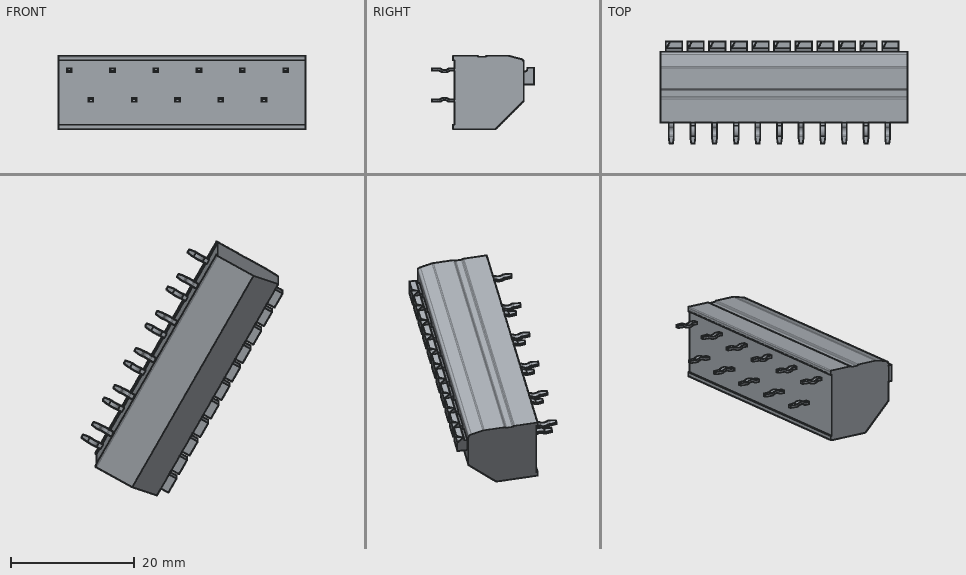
import cadquery as cq
import math

LENGTH = 40.0
DEPTH = 11.5
HEIGHT = 11.9
BOTTOM_BEVEL = 4.6
TOP_SLOPE_RUN = 2.5
TOP_SLOPE_DROP = 0.65
BACK_EDGE_RADIUS = 0.6
SLOPE_EDGE_RADIUS = 0.9
RIM_HEIGHT = 0.75
RIM_DEPTH = 0.25
RIM_EDGE_RADIUS = 0.15

GROOVE_FRONT = 3.9
GROOVE_BACK = 5.55
GROOVE_DEPTH = 0.15
GROOVE_RAMP = 0.35

POLE_COUNT = 11
POLE_SPAN = 35.0
POLE_PITCH = POLE_SPAN / (POLE_COUNT - 1)
FIRST_PIN_X = 1.75
OVERLAP = 0.4

LEVER_OFFSET = 0.45
LEVER_WIDTH = 2.7
LEVER_REACH = 1.65
LEVER_BOTTOM = 7.25
LEVER_TOP = 10.0
LEVER_LEDGE = 9.4
LEVER_HEAD_DEPTH = 1.1
HEAD_RADIUS = 0.2
LEDGE_RADIUS = 0.3

NOTCH_SIZE = 0.85
NOTCH_TOP_LENGTH = 0.25
NOTCH_BOTTOM_LENGTH = 1.3

PIN_REACH = 3.4
PIN_WIDTH = 0.85
PIN_THICKNESS = 0.4
PIN_TIP_WIDTH = 0.55
PIN_TAPER = 0.9
PIN_UPPER_Z = 9.7
PIN_LOWER_Z = 4.65
KINK_CENTRE = 1.35
KINK_HALF_LENGTH = 0.85
KINK_ANGLE = math.radians(37)


def round_long_edge(body, y, z, radius):
    """Fillet the edge along X that passes through (y, z)."""
    edge = cq.selectors.NearestToPointSelector((LENGTH / 2, y, z))
    return body.edges("|X").edges(edge).fillet(radius)


def make_housing():
    wall_y = RIM_DEPTH
    groove_floor = HEIGHT - GROOVE_DEPTH
    mid_ramp = HEIGHT - GROOVE_DEPTH / 2
    profile = (
        cq.Workplane("YZ")
        .moveTo(0, 0)
        .lineTo(DEPTH - BOTTOM_BEVEL, 0)
        .lineTo(DEPTH, BOTTOM_BEVEL)
        .lineTo(DEPTH, HEIGHT - TOP_SLOPE_DROP)
        .lineTo(DEPTH - TOP_SLOPE_RUN, HEIGHT)
        .lineTo(GROOVE_BACK, HEIGHT)
        .tangentArcPoint((GROOVE_BACK - GROOVE_RAMP / 2, mid_ramp), relative=False)
        .tangentArcPoint((GROOVE_BACK - GROOVE_RAMP, groove_floor), relative=False)
        .lineTo(GROOVE_FRONT + GROOVE_RAMP, groove_floor)
        .tangentArcPoint((GROOVE_FRONT + GROOVE_RAMP / 2, mid_ramp), relative=False)
        .tangentArcPoint((GROOVE_FRONT, HEIGHT), relative=False)
        .lineTo(0, HEIGHT)
        .lineTo(0, HEIGHT - RIM_HEIGHT)
        .lineTo(wall_y, HEIGHT - RIM_HEIGHT)
        .lineTo(wall_y, RIM_HEIGHT)
        .lineTo(0, RIM_HEIGHT)
        .close()
    )
    housing = profile.extrude(LENGTH)

    housing = round_long_edge(housing, DEPTH, HEIGHT - TOP_SLOPE_DROP, BACK_EDGE_RADIUS)
    housing = round_long_edge(housing, DEPTH - TOP_SLOPE_RUN, HEIGHT, SLOPE_EDGE_RADIUS)
    housing = round_long_edge(housing, 0, HEIGHT, RIM_EDGE_RADIUS)
    return round_long_edge(housing, 0, 0, RIM_EDGE_RADIUS)


def make_lever():
    """Lever with its -X side at X = 0."""
    back = DEPTH + LEVER_REACH
    root = DEPTH - OVERLAP
    step = back - LEVER_HEAD_DEPTH
    lever = (
        cq.Workplane("YZ")
        .moveTo(root, LEVER_BOTTOM)
        .lineTo(back, LEVER_BOTTOM)
        .lineTo(back, LEVER_TOP)
        .lineTo(step + HEAD_RADIUS, LEVER_TOP)
        .tangentArcPoint((step, LEVER_TOP - HEAD_RADIUS), relative=False)
        .lineTo(step, LEVER_LEDGE + LEDGE_RADIUS)
        .tangentArcPoint((step - LEDGE_RADIUS, LEVER_LEDGE), relative=False)
        .lineTo(root, LEVER_LEDGE)
        .close()
        .extrude(LEVER_WIDTH)
    )

    slope_length = NOTCH_SIZE * math.sqrt(2)
    bevel = cq.Plane(origin=(0, back, LEVER_TOP - NOTCH_SIZE), xDir=(-1, 0, 0), normal=(0, 1, 1))
    notch = (
        cq.Workplane(bevel)
        .polyline(
            [
                (0, 0),
                (-NOTCH_BOTTOM_LENGTH, 0),
                (-NOTCH_TOP_LENGTH, slope_length),
                (0, slope_length),
            ]
        )
        .close()
        .extrude(NOTCH_SIZE)
    )
    return lever.cut(notch)


def make_pin(kink_direction):
    """Pin centred on X = 0 and Z = 0, kinked up (+1) or down (-1)."""
    half = PIN_THICKNESS / 2
    root = RIM_DEPTH + OVERLAP
    near = -KINK_CENTRE + KINK_HALF_LENGTH
    far = -KINK_CENTRE - KINK_HALF_LENGTH

    bow_outer_radius = KINK_HALF_LENGTH / math.sin(KINK_ANGLE)
    bow_centre_z = half - bow_outer_radius * math.cos(KINK_ANGLE)
    bow_outer_top = bow_centre_z + bow_outer_radius
    bow_inner_top = bow_outer_top - PIN_THICKNESS

    def point(y, z):
        return (y, kink_direction * z)

    def knee_point(crease_y, inward, angle):
        y = crease_y + inward * PIN_THICKNESS * math.sin(angle)
        z = half - PIN_THICKNESS * math.cos(angle)
        return point(y, z)

    side = (
        cq.Workplane("YZ")
        .moveTo(*point(root, half))
        .lineTo(*point(near, half))
        .threePointArc(point(-KINK_CENTRE, bow_outer_top), point(far, half))
        .lineTo(*point(-PIN_REACH, half))
        .lineTo(*point(-PIN_REACH, -half))
        .lineTo(*point(far, -half))
        .threePointArc(knee_point(far, 1, KINK_ANGLE / 2), knee_point(far, 1, KINK_ANGLE))
        .threePointArc(point(-KINK_CENTRE, bow_inner_top), knee_point(near, -1, KINK_ANGLE))
        .threePointArc(knee_point(near, -1, KINK_ANGLE / 2), point(near, -half))
        .lineTo(*point(root, -half))
        .close()
        .extrude(PIN_WIDTH / 2, both=True)
    )

    plan = (
        cq.Workplane("XY")
        .polyline(
            [
                (-PIN_WIDTH / 2, root),
                (-PIN_WIDTH / 2, PIN_TAPER - PIN_REACH),
                (-PIN_TIP_WIDTH / 2, -PIN_REACH),
                (PIN_TIP_WIDTH / 2, -PIN_REACH),
                (PIN_WIDTH / 2, PIN_TAPER - PIN_REACH),
                (PIN_WIDTH / 2, root),
            ]
        )
        .close()
        .extrude(bow_outer_top + PIN_THICKNESS, both=True)
    )
    return side.intersect(plan)


upper_pin = make_pin(-1).translate((0, 0, PIN_UPPER_Z))
lower_pin = make_pin(1).translate((0, 0, PIN_LOWER_Z))
lever = make_lever().translate((LEVER_OFFSET - LEVER_WIDTH / 2, 0, 0))

result = make_housing()
for pole in range(POLE_COUNT):
    pole_x = FIRST_PIN_X + pole * POLE_PITCH
    pin = upper_pin if pole % 2 == 0 else lower_pin
    result = result.union(pin.translate((pole_x, 0, 0)))
    result = result.union(lever.translate((pole_x, 0, 0)))